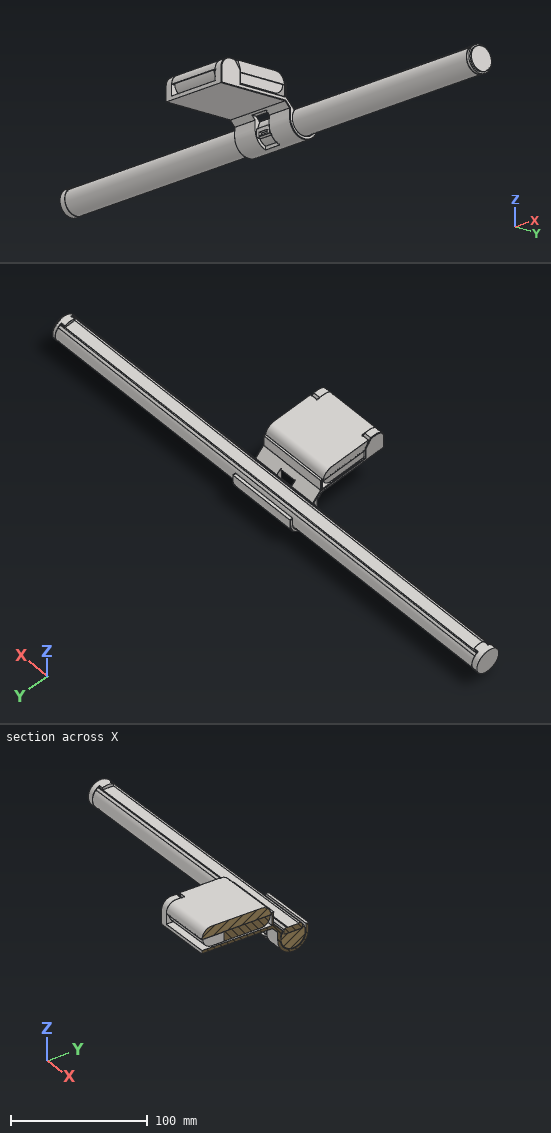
import cadquery as cq
import math


total_length = 450.0
cap_radius = 11.2
cap_step = 0.22
cap_length = 5.5
right_cap_length = 2.5
button_length = 1.5
button_radius = 10.0
tongue_length = 4.0
diffuser_half_width = 8.0
diffuser_bottom = 3.5
groove_top_width = 12.5
groove_floor_width = 10.0
groove_floor = 8.5

port_width = 14.5
port_front = -13.0
port_top = 0.5
port_bottom = -6.5
socket_width = 9.0
socket_height = 2.5
socket_depth = 2.5
socket_middle = -4.0

bracket_width = 61.0
total_depth = 95.5
saddle_thickness = 2.5
lip_top = 6.5
front_leg_top = 7.0
plate_bottom = 11.5
plate_thickness = 3.0
flange_thickness = 2.0
flange_top = 25.5
edge_chamfer = 0.5
notch_width = 15.5
notch_top = 10.5
notch_back = -3.5
cheek_thickness = 6.8
cheek_back = -62.5
cheek_slope_bottom = 25.5
cheek_slope_run = 5.5

housing_end_radius = 9.0
rear_gap = 0.5
lower_shell_inset = 1.0
cheek_clearance = 2.2
shell_slope_run = 2.5

tube_radius = cap_radius - cap_step
tube_left = -total_length / 2 + cap_length
cap_right = total_length / 2 - button_length
tube_right = cap_right - right_cap_length
saddle_radius = cap_radius + saddle_thickness
bracket_front = saddle_radius - total_depth
plate_top = plate_bottom + plate_thickness
arm_offset = front_leg_top - saddle_radius
arm_top_offset = arm_offset + plate_thickness * math.sqrt(2)
arm_half_chord = math.sqrt(cap_radius**2 / 2 - arm_top_offset**2 / 4)
arm_foot = (arm_top_offset / 2 - arm_half_chord, arm_top_offset / 2 + arm_half_chord)
arm_bottom_end = arm_offset - plate_bottom
flange_back = arm_top_offset - plate_top
flange_front = flange_back - flange_thickness
housing_back = flange_front - rear_gap
housing_depth = housing_back - bracket_front
housing_middle = plate_top + housing_end_radius
housing_top = plate_top + 2 * housing_end_radius
cheek_lefts = (-bracket_width / 2, bracket_width / 2 - cheek_thickness)


def cylinder_x(radius, start, end):
    """Solid cylinder on the tube axis between two X positions."""
    return cq.Workplane("YZ").workplane(offset=start).circle(radius).extrude(end - start)


def box(x_range, y_range, z_range):
    """Box given by its lower and upper limit along each axis."""
    sizes = [high - low for low, high in (x_range, y_range, z_range)]
    corner = (x_range[0], y_range[0], z_range[0])
    return cq.Workplane("XY").box(*sizes, centered=False).translate(corner)


def centered(width):
    """Limits of a width centred on zero."""
    return (-width / 2, width / 2)


def channel():
    """Space along the top of the tube that the diffuser fills."""
    return box(
        (tube_left, tube_right),
        (-diffuser_half_width, diffuser_half_width),
        (diffuser_bottom, cap_radius),
    )


def groove():
    """Shallow groove along the top of the diffuser, with a flat floor and sloping sides."""
    rim = math.sqrt(tube_radius**2 - groove_top_width**2 / 4)
    outline = (
        cq.Workplane("YZ")
        .workplane(offset=tube_left)
        .moveTo(-groove_floor_width / 2, groove_floor)
        .lineTo(groove_floor_width / 2, groove_floor)
        .lineTo(groove_top_width / 2, rim)
        .lineTo(groove_top_width / 2, cap_radius)
        .lineTo(-groove_top_width / 2, cap_radius)
        .lineTo(-groove_top_width / 2, rim)
        .close()
    )
    return outline.extrude(tube_right - tube_left)


def make_tube():
    """Tube with the diffuser channel on top and the power port in front."""
    tube = cylinder_x(tube_radius, tube_left, tube_right).cut(channel())
    port = box(centered(port_width), (port_front, -tube_radius / 2), (port_bottom, port_top))
    socket = box(
        centered(socket_width),
        (port_front, port_front + socket_depth),
        (socket_middle - socket_height / 2, socket_middle + socket_height / 2),
    )
    return tube.union(port).cut(socket)


def make_diffuser():
    """Strip that completes the round of the tube, with the groove along it."""
    return cylinder_x(tube_radius, tube_left, tube_right).intersect(channel()).cut(groove())


def make_cap(start, end, tongue_start):
    """End cap with a tongue that lies in the end of the groove."""
    tongue_end = tongue_start + tongue_length
    tongue_space = box((tongue_start, tongue_end), centered(groove_floor_width), (groove_floor, cap_radius))
    tongue = cylinder_x(cap_radius, tongue_start, tongue_end).intersect(tongue_space)
    return cylinder_x(cap_radius, start, end).union(tongue)


def make_button():
    """Flat round button on the right end cap."""
    return cylinder_x(button_radius, cap_right, total_length / 2)


def strip_profile():
    """Side outline of the saddle, 45 degree arm, base plate and rear flange, bent from one strip."""
    return (
        cq.Workplane("YZ")
        .moveTo(saddle_radius, lip_top)
        .lineTo(saddle_radius, 0)
        .threePointArc((0, -saddle_radius), (-saddle_radius, 0))
        .lineTo(-saddle_radius, front_leg_top)
        .lineTo(arm_bottom_end, plate_bottom)
        .lineTo(bracket_front, plate_bottom)
        .lineTo(bracket_front, plate_top)
        .lineTo(flange_front, plate_top)
        .lineTo(flange_front, flange_top)
        .lineTo(flange_back, flange_top)
        .lineTo(flange_back, plate_top)
        .lineTo(*arm_foot)
        .threePointArc((0, -cap_radius), (cap_radius, 0))
        .lineTo(cap_radius, lip_top)
        .close()
    )


def make_cheek(left):
    """Upright front cheek with a rounded front edge and a sloping upper back edge."""
    corner = housing_end_radius
    arc_middle = corner * (1 - math.sqrt(0.5))
    outline = (
        cq.Workplane("YZ")
        .workplane(offset=left)
        .moveTo(bracket_front, plate_bottom)
        .lineTo(bracket_front, housing_top - corner)
        .threePointArc(
            (bracket_front + arc_middle, housing_top - arc_middle),
            (bracket_front + corner, housing_top),
        )
        .lineTo(cheek_back - cheek_slope_run, housing_top)
        .lineTo(cheek_back, cheek_slope_bottom)
        .lineTo(cheek_back, plate_bottom)
        .close()
    )
    return outline.extrude(cheek_thickness)


def make_bracket():
    """Bracket that holds the tube in its saddle and the housing between its cheeks."""
    bracket = strip_profile().extrude(bracket_width / 2, both=True)
    notch = box(centered(notch_width), (bracket_front, notch_back), (-saddle_radius, notch_top))
    bracket = bracket.cut(notch)
    for left in cheek_lefts:
        bracket = bracket.union(make_cheek(left))
    return bracket.faces("<X or >X").edges().chamfer(edge_chamfer)


def rounded_bar(inset):
    """Bar along X, set in on every side, with a full round along its front and its rear edge."""
    return (
        cq.Workplane("YZ")
        .center(bracket_front + housing_depth / 2, housing_middle)
        .slot2D(housing_depth - 2 * inset, 2 * (housing_end_radius - inset))
        .extrude(bracket_width / 2 - inset, both=True)
    )


def upper_recess(left):
    """Space cleared in the upper shell for one cheek, with a sloping back wall."""
    outline = (
        cq.Workplane("YZ")
        .workplane(offset=left)
        .moveTo(bracket_front, plate_top)
        .lineTo(bracket_front, housing_top)
        .lineTo(cheek_back - shell_slope_run, housing_top)
        .lineTo(cheek_back, cheek_slope_bottom)
        .lineTo(cheek_back, plate_top)
        .close()
    )
    return outline.extrude(cheek_thickness)


def lower_recess(left):
    """Space cleared in the lower shell for one cheek, with clearance around the cheek."""
    return box(
        (left - cheek_clearance, left + cheek_thickness + cheek_clearance),
        (bracket_front, cheek_back + lower_shell_inset),
        (plate_top, housing_middle),
    )


def make_upper_shell():
    """Upper half of the housing, as wide as the bracket and recessed for the cheeks."""
    upper_half = box(
        centered(bracket_width), (bracket_front, housing_back), (housing_middle, housing_top)
    )
    shell = rounded_bar(0).intersect(upper_half)
    for left in cheek_lefts:
        shell = shell.cut(upper_recess(left))
    return shell


def make_lower_shell():
    """Lower half of the housing, slightly smaller all round than the upper half."""
    lower_half = box(
        centered(bracket_width), (bracket_front, housing_back), (plate_top, housing_middle)
    )
    shell = rounded_bar(lower_shell_inset).intersect(lower_half)
    for left in cheek_lefts:
        shell = shell.cut(lower_recess(left))
    return shell


tube = make_tube()
diffuser = make_diffuser()
left_cap = make_cap(-total_length / 2, tube_left, tube_left)
right_cap = make_cap(tube_right, cap_right, tube_right - tongue_length)
button = make_button()
bracket = make_bracket()
upper_shell = make_upper_shell()
lower_shell = make_lower_shell()

result = cq.Compound.makeCompound(
    [
        tube.val(),
        diffuser.val(),
        left_cap.val(),
        right_cap.val(),
        button.val(),
        bracket.val(),
        upper_shell.val(),
        lower_shell.val(),
    ]
)